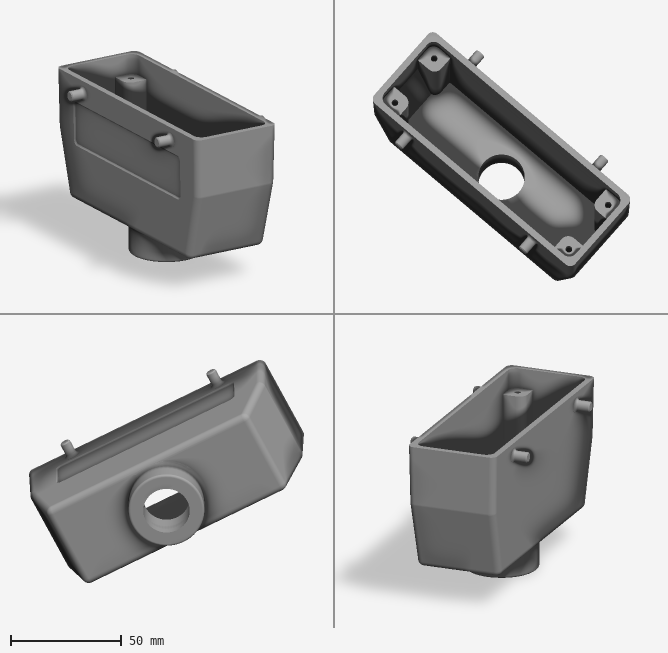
import cadquery as cq
import math

LENGTH = 120.0
RIM_WIDTH = 43.0
HEIGHT = 74.0
BODY_HEIGHT = 60.1
BEND_DEPTH = 27.8
BOTTOM_LENGTH = 101.8
DRAFT = math.tan(math.radians(1.0))
EDGE_RADIUS = 3.0

WALL = 2.9
FLOOR = 3.0
CAVITY_BOTTOM_LENGTH = 98.4
STRAIGHT_DEPTH = 9.6
CAVITY_DRAFT = 0.6
CAVITY_RADIUS = 4.0

POST_INNER_X = 46.5
POST_INNER_Y = 8.2
POST_RADIUS = 4.0
SCREW_X = 52.0
SCREW_Y = 13.5
SCREW_DIAMETER = 3.0
SCREW_DEPTH = 12.0

SPOUT_DIAMETER = 34.3
BORE_DIAMETER = 21.0
SPOUT_TIP_RADIUS = 1.1
SPOUT_ROOT_RADIUS = 1.8

PIN_SPAN = 57.0
PIN_X = 37.1
PIN_DEPTH = 6.1
PIN_DIAMETER = 4.8
PIN_TIP_CHAMFER = 0.5
PIN_ROOT_RADIUS = 1.3

PANEL_LENGTH = 90.7
PANEL_HEIGHT = 21.1
PANEL_TOP_DEPTH = 11.9
PANEL_RADIUS = 2.6
PANEL_BORDER = 0.8
PANEL_RECESS = 0.6

BODY_BOTTOM = HEIGHT - BODY_HEIGHT
BEND_Z = HEIGHT - BEND_DEPTH
FLOOR_Z = BODY_BOTTOM + FLOOR
BAND_Z = HEIGHT - STRAIGHT_DEPTH


def mirrored_prism(plane, half_profile, depth):
    """Extrude the half outline and its mirror image both ways from the plane."""
    other_half = [(-across, z) for across, z in reversed(half_profile)]
    return cq.Workplane(plane).polyline(half_profile + other_half).close().extrude(depth, both=True)


def make_shell():
    half_length = LENGTH / 2
    half_width = RIM_WIDTH / 2
    long_profile = [
        (BOTTOM_LENGTH / 2, BODY_BOTTOM),
        (half_length - BEND_DEPTH * DRAFT, BEND_Z),
        (half_length, HEIGHT),
    ]
    cross_profile = [
        (half_width - BODY_HEIGHT * DRAFT, BODY_BOTTOM),
        (half_width, HEIGHT),
    ]
    block = mirrored_prism("XZ", long_profile, RIM_WIDTH)
    block = block.intersect(mirrored_prism("YZ", cross_profile, LENGTH))
    return block.edges("not >Z").fillet(EDGE_RADIUS)


def make_cavity():
    half_length = LENGTH / 2 - WALL
    half_width = RIM_WIDTH / 2 - WALL
    long_profile = [
        (CAVITY_BOTTOM_LENGTH / 2, FLOOR_Z),
        (half_length, BEND_Z),
        (half_length, HEIGHT),
    ]
    cross_profile = [
        (half_width - CAVITY_DRAFT, FLOOR_Z),
        (half_width, BAND_Z),
        (half_width, HEIGHT),
    ]
    cavity = mirrored_prism("XZ", long_profile, RIM_WIDTH)
    cavity = cavity.intersect(mirrored_prism("YZ", cross_profile, LENGTH))
    return cavity.edges("not #Z").fillet(CAVITY_RADIUS)


def make_posts(cavity):
    """Round-cornered posts filling the four cavity corners up to the band."""
    size_x = LENGTH / 2 - POST_INNER_X
    size_y = RIM_WIDTH / 2 - POST_INNER_Y
    posts = cq.Workplane("XY", origin=(0, 0, FLOOR_Z))
    for side_x in (-1, 1):
        for side_y in (-1, 1):
            post = (
                cq.Workplane("XY", origin=(0, 0, FLOOR_Z))
                .center(side_x * (POST_INNER_X + size_x / 2), side_y * (POST_INNER_Y + size_y / 2))
                .rect(size_x, size_y)
                .extrude(BAND_Z - FLOOR_Z)
                .edges("|Z")
                .fillet(POST_RADIUS)
            )
            posts = posts.add(post)
    return posts.combine().intersect(cavity)


def add_spout(body):
    spout = (
        cq.Workplane("XY")
        .circle(SPOUT_DIAMETER / 2)
        .extrude(FLOOR_Z)
        .faces("<Z")
        .edges()
        .fillet(SPOUT_TIP_RADIUS)
    )
    reach = SPOUT_DIAMETER / 2 + SPOUT_ROOT_RADIUS
    root = cq.selectors.BoxSelector(
        (-reach, -reach, BODY_BOTTOM - EDGE_RADIUS),
        (reach, reach, BODY_BOTTOM + EDGE_RADIUS),
    )
    return body.union(spout).edges(root).fillet(SPOUT_ROOT_RADIUS)


def make_pin():
    """Pin at +X on the +Y wall, flaring where it leaves the wall."""
    radius = PIN_DIAMETER / 2
    tip = PIN_SPAN / 2
    wall = RIM_WIDTH / 2 - PIN_DEPTH * DRAFT
    buried = wall - WALL / 2
    flare_radius = radius + PIN_ROOT_RADIUS
    flare_mid = PIN_ROOT_RADIUS * (1 - math.sqrt(0.5))
    return (
        cq.Workplane("XY")
        .moveTo(0, buried)
        .lineTo(flare_radius, buried)
        .lineTo(flare_radius, wall)
        .threePointArc((radius + flare_mid, wall + flare_mid), (radius, wall + PIN_ROOT_RADIUS))
        .lineTo(radius, tip - PIN_TIP_CHAMFER)
        .lineTo(radius - PIN_TIP_CHAMFER, tip)
        .lineTo(0, tip)
        .close()
        .revolve(360, (0, 0, 0), (0, 1, 0))
        .translate((PIN_X, 0, HEIGHT - PIN_DEPTH))
    )


def make_panel_recess():
    """Shallow label pocket, parallel to the drafted wall, with a sloped margin."""
    panel_depth = PANEL_TOP_DEPTH + PANEL_HEIGHT / 2
    wall = RIM_WIDTH / 2 - panel_depth * DRAFT
    slope = math.degrees(math.atan(PANEL_BORDER / PANEL_RECESS))
    surface = cq.Plane(
        origin=(0, -wall, HEIGHT - panel_depth),
        xDir=(1, 0, 0),
        normal=(0, 1, DRAFT),
    )
    outline = cq.Sketch().rect(PANEL_LENGTH, PANEL_HEIGHT).vertices().fillet(PANEL_RADIUS)
    return cq.Workplane(surface).placeSketch(outline).extrude(PANEL_RECESS, taper=slope)


cavity = make_cavity()
result = add_spout(make_shell()).cut(cavity)
result = result.union(make_posts(cavity))

right_pin = make_pin()
for pin in (right_pin, right_pin.mirror("YZ")):
    result = result.union(pin).union(pin.mirror("XZ"))

result = result.cut(make_panel_recess())

bore = cq.Workplane("XY").circle(BORE_DIAMETER / 2).extrude(HEIGHT)
screw_holes = (
    cq.Workplane("XY", origin=(0, 0, BAND_Z - SCREW_DEPTH))
    .rect(2 * SCREW_X, 2 * SCREW_Y, forConstruction=True)
    .vertices()
    .circle(SCREW_DIAMETER / 2)
    .extrude(SCREW_DEPTH)
)
result = result.cut(bore).cut(screw_holes)